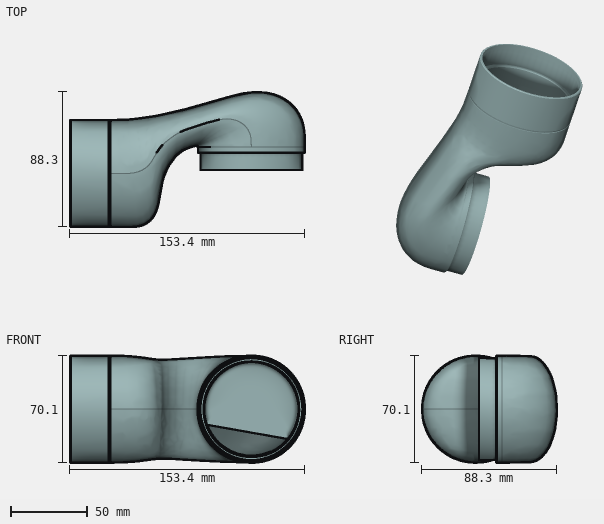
import cadquery as cq
import math

pipe_radius = 35.0
bore_radius = 30.8
socket_radius = 33.5
socket_depth = 15.0
rim_chamfer = 0.5
bore_entry_chamfer = 0.5
groove_start = 25.2
groove_width = 1.3
groove_depth = 0.8
body_start = groove_start + groove_width

outlet_x = 118.4
outlet_end_y = 2.1
outlet_collar_y = 13.3
spigot_radius = 33.3
collar_chamfer = 0.5

web_y = 14.0
web_thickness = 0.4
web_chord_height = -15.3
web_chord_tilt = -10.0

end_wall = pipe_radius - bore_radius
neck_wall = 2.5
overlap = 0.5
elbow_end_y = 17.3
outlet_inner_x = outlet_x - pipe_radius
outlet_outer_x = outlet_x + pipe_radius

body_sections = [
    ((body_start, -pipe_radius), (body_start, pipe_radius), pipe_radius, end_wall),
    ((31.0, -pipe_radius), (30.5, pipe_radius), pipe_radius, end_wall),
    ((42.5, -34.9), (36.5, 35.1), 34.6, end_wall),
    ((53.0, -30.0), (44.0, 35.9), 33.6, 3.5),
    ((59.0, -13.5), (52.0, 36.9), 32.6, 3.0),
    ((62.2, 0.7), (61.0, 38.8), 32.4, neck_wall),
    ((69.0, 11.3), (71.5, 40.9), 32.8, neck_wall),
    ((76.5, 16.3), (87.6, 45.3), 33.5, neck_wall),
    ((81.5, 17.9), (106.0, 50.7), 34.2, neck_wall),
    ((82.8, 18.0), (123.0, 53.15), 34.6, 3.0),
    ((83.2, 17.8), (142.8, 46.6), 34.8, 3.5),
    ((83.3, 17.6), (151.7, 33.9), 34.95, end_wall),
    ((outlet_inner_x, elbow_end_y), (outlet_outer_x, elbow_end_y), pipe_radius, end_wall),
]


def section_wire(near, far, half_height, inset):
    """Ellipse standing on the XY line from near to far, shrunk by inset."""
    dx = far[0] - near[0]
    dy = far[1] - near[1]
    centre = ((near[0] + far[0]) / 2, (near[1] + far[1]) / 2, 0)
    plane = cq.Plane(origin=centre, xDir=(0, 0, 1), normal=(dy, -dx, 0))
    half_width = math.hypot(dx, dy) / 2
    return cq.Workplane(plane).ellipse(half_height - inset, half_width - inset).wire().val()


def neck(hollow):
    """Swan-neck loft: its cavity if hollow, otherwise its outer form."""
    wires = []
    for near, far, half_height, wall in body_sections:
        inset = wall if hollow else 0
        wires.append(section_wire(near, far, half_height, inset))
    return cq.Workplane(cq.Solid.makeLoft(wires))


def along_inlet(radius, start, end):
    return cq.Workplane("YZ", origin=(start, 0, 0)).circle(radius).extrude(end - start)


def along_outlet(radius, start, end):
    return cq.Workplane("XZ", origin=(outlet_x, end, 0)).circle(radius).extrude(end - start)


def outer_form():
    socket = along_inlet(pipe_radius, 0, groove_start).faces("<X").chamfer(rim_chamfer)
    groove_core = along_inlet(pipe_radius - groove_depth, groove_start - overlap, body_start + overlap)
    collar = along_outlet(pipe_radius, outlet_collar_y, elbow_end_y).faces("<Y").chamfer(collar_chamfer)
    spigot = along_outlet(spigot_radius, outlet_end_y, outlet_collar_y + overlap)
    return neck(False).union(socket).union(groove_core).union(collar).union(spigot)


def entry_cone(origin, plane):
    """Cone that breaks the entry edge of the bore, with its wide end at origin."""
    return (
        cq.Workplane(plane, origin=origin)
        .circle(bore_radius + bore_entry_chamfer)
        .workplane(offset=bore_entry_chamfer)
        .circle(bore_radius)
        .loft()
    )


def cavities():
    socket = along_inlet(socket_radius, 0, socket_depth)
    inlet_cone = entry_cone((socket_depth, 0, 0), "YZ")
    inlet_bore = along_inlet(bore_radius, 0, body_start)
    outlet_cone = entry_cone((outlet_x, outlet_end_y, 0), "ZX")
    outlet_bore = along_outlet(bore_radius, outlet_end_y, elbow_end_y)
    return [socket, inlet_cone, inlet_bore, neck(True), outlet_bore, outlet_cone]


def outlet_web():
    disc = along_outlet(bore_radius + overlap, web_y, web_y + web_thickness)
    span = 4 * pipe_radius
    keep = (
        cq.Workplane("XY")
        .box(span, span, span, centered=(True, True, False))
        .rotate((0, 0, 0), (0, 1, 0), -web_chord_tilt)
        .translate((outlet_x, web_y, web_chord_height))
    )
    return disc.intersect(keep)


result = outer_form()
for cavity in cavities():
    result = result.cut(cavity)
result = result.union(outlet_web())